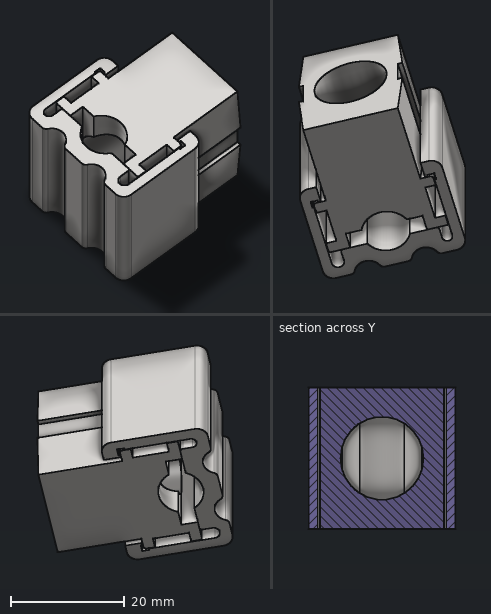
import cadquery as cq
import math

HEIGHT = 25.0

HOUSING_WIDTH = 26.0
HOUSING_DEPTH = 19.03
HOUSING_CORNER_RADIUS = 1.98
CAVITY_WIDTH = 22.05
LIP_THICKNESS = 3.0
LIP_OPENING_WIDTH = 19.05
SEAT_Y = 5.42
SEAT_EDGE_RADIUS = 0.5
RELIEF_WIDTH = 1.25
RELIEF_OVERHANG = 0.28
LEFT_SLOT_WIDTH = 1.85
RIGHT_SLOT_WIDTH = 2.23
SLOT_CENTER_Y = 3.15

GROOVE_SPACING = 10.48
GROOVE_RADIUS = 2.5
GROOVE_DEPTH = 2.0
GROOVE_EDGE_RADIUS = 1.0

HOUSING_BORE_RADIUS = 4.4
HOUSING_BORE_BOTTOM_Y = 3.07
BLOCK_BORE_RADIUS = 4.55
BLOCK_BORE_TOP_Y = 11.07

BLOCK_BACK_Y = 31.0
STEM_WIDTH_AT_ENDS = 17.3
STEM_WIDTH_AT_BAND = 18.95
BAND_HEIGHT = 5.1
FLANGE_WIDTH = 21.82
FLANGE_BACK_Y = 15.9
FLANGE_THICKNESS = 1.98
FLANGE_BACK_RADIUS = 0.5
FLANGE_FRONT_RADIUS = 0.3
SIDE_RECESS_FLOOR_WIDTH = 18.05
FRONT_RECESS_WIDTH = 14.05
FRONT_RECESS_DEPTH = 2.98
TAPERED_BORE_FRONT_RADIUS = 7.6
TAPERED_BORE_BACK_RADIUS = 6.6


def box_between(x_min, x_max, y_min, y_max):
    """Full-height box between two X and two Y limits."""
    box = cq.Workplane("XY").box(x_max - x_min, y_max - y_min, HEIGHT, centered=False)
    return box.translate((x_min, y_min, 0))


def centered_box(width, y_min, y_max):
    """Full-height box centred on the middle plane."""
    return box_between(-width / 2, width / 2, y_min, y_max)


def upright_cylinder(x, y, radius):
    """Full-height cylinder along Z."""
    return cq.Workplane("XY").center(x, y).circle(radius).extrude(HEIGHT)


def fillet_upright_edge(body, x, y, radius):
    """Round the one vertical edge that stands at (x, y)."""
    nearest = cq.selectors.NearestToPointSelector((x, y, HEIGHT / 2))
    return body.edges(nearest).fillet(radius)


def make_housing():
    body = centered_box(HOUSING_WIDTH, 0, HOUSING_DEPTH).edges("|Z").fillet(HOUSING_CORNER_RADIUS)

    lip_front_y = HOUSING_DEPTH - LIP_THICKNESS
    body = body.cut(centered_box(CAVITY_WIDTH, SEAT_Y, lip_front_y))
    body = body.cut(centered_box(LIP_OPENING_WIDTH, SEAT_Y, HOUSING_DEPTH))

    for side, width in ((-1, LEFT_SLOT_WIDTH), (1, RIGHT_SLOT_WIDTH)):
        outer_x = side * CAVITY_WIDTH / 2
        inner_x = outer_x - side * width
        x_min, x_max = sorted((outer_x, inner_x))
        body = body.cut(box_between(x_min, x_max, SLOT_CENTER_Y, SEAT_Y))
        body = body.cut(upright_cylinder((x_min + x_max) / 2, SLOT_CENTER_Y, width / 2))
        body = fillet_upright_edge(body, inner_x, SEAT_Y, SEAT_EDGE_RADIUS)

    for side in (-1, 1):
        relief_outer_x = side * (CAVITY_WIDTH / 2 + RELIEF_OVERHANG)
        x_min, x_max = sorted((relief_outer_x, relief_outer_x - side * RELIEF_WIDTH))
        relief_back_y = lip_front_y + RELIEF_OVERHANG
        body = body.cut(box_between(x_min, x_max, relief_back_y - RELIEF_WIDTH, relief_back_y))

    groove_center_y = GROOVE_DEPTH - GROOVE_RADIUS
    half_opening = math.sqrt(GROOVE_RADIUS**2 - groove_center_y**2)
    for groove_x in (-GROOVE_SPACING / 2, GROOVE_SPACING / 2):
        body = body.cut(upright_cylinder(groove_x, groove_center_y, GROOVE_RADIUS))
        for edge_x in (groove_x - half_opening, groove_x + half_opening):
            body = fillet_upright_edge(body, edge_x, 0, GROOVE_EDGE_RADIUS)

    return body.cut(upright_cylinder(0, HOUSING_BORE_BOTTOM_Y + HOUSING_BORE_RADIUS, HOUSING_BORE_RADIUS))


def make_block():
    foot = centered_box(FLANGE_WIDTH, SEAT_Y, FLANGE_BACK_Y)
    foot = foot.edges("|Z and >Y").fillet(FLANGE_BACK_RADIUS)
    foot = foot.edges("|Z and <Y").fillet(FLANGE_FRONT_RADIUS)
    recess_front_y = SEAT_Y + FLANGE_THICKNESS
    for side in (-1, 1):
        x_min, x_max = sorted((side * SIDE_RECESS_FLOOR_WIDTH / 2, side * FLANGE_WIDTH / 2))
        foot = foot.cut(box_between(x_min, x_max, recess_front_y, FLANGE_BACK_Y - FLANGE_THICKNESS))

    half_end = STEM_WIDTH_AT_ENDS / 2
    half_band = STEM_WIDTH_AT_BAND / 2
    band_bottom = (HEIGHT - BAND_HEIGHT) / 2
    band_top = band_bottom + BAND_HEIGHT
    right_side = [
        (half_end, 0), (half_band, band_bottom), (half_end, band_bottom),
        (half_end, band_top), (half_band, band_top), (half_end, HEIGHT),
    ]
    left_side = [(-x, z) for x, z in reversed(right_side)]
    stem = (
        cq.Workplane("XZ", origin=(0, FLANGE_BACK_Y, 0))
        .polyline(right_side + left_side)
        .close()
        .extrude(FLANGE_BACK_Y - BLOCK_BACK_Y)
    )

    block = foot.union(stem)

    recess_back_y = SEAT_Y + FRONT_RECESS_DEPTH
    block = block.cut(centered_box(FRONT_RECESS_WIDTH, SEAT_Y, recess_back_y))
    block = block.cut(upright_cylinder(0, BLOCK_BORE_TOP_Y - BLOCK_BORE_RADIUS, BLOCK_BORE_RADIUS))

    tapered_bore = (
        cq.Workplane("XZ", origin=(0, recess_back_y, HEIGHT / 2))
        .circle(TAPERED_BORE_FRONT_RADIUS)
        .workplane(offset=recess_back_y - BLOCK_BACK_Y)
        .circle(TAPERED_BORE_BACK_RADIUS)
        .loft()
    )
    return block.cut(tapered_bore)


housing = make_housing()
block = make_block()
result = cq.Compound.makeCompound([housing.val(), block.val()])